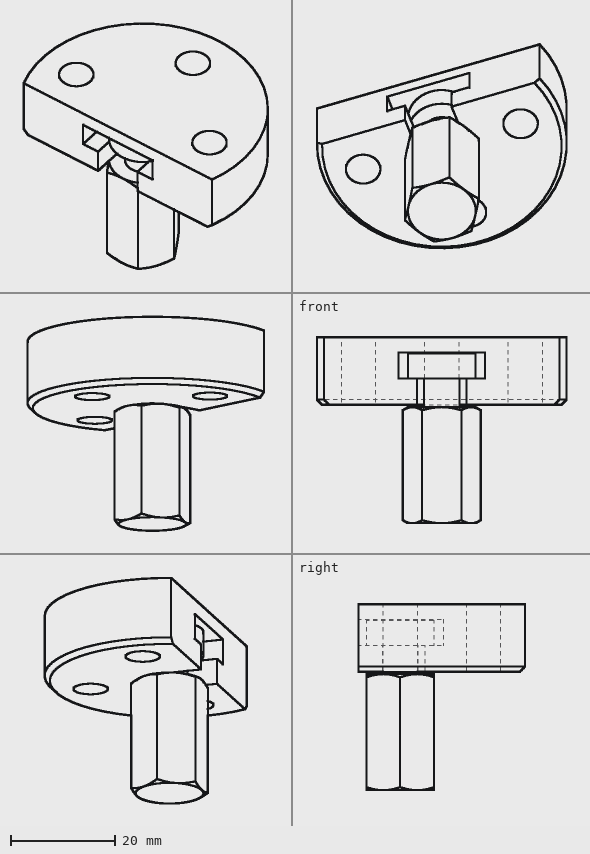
import cadquery as cq
import math

plate_diameter = 48.0
plate_thickness = 13.0
flat_distance = 8.0
plate_chamfer = 1.0
mount_hole_diameter = 6.6
mount_hole_circle_radius = 16.0
mount_hole_angles = (0, 90, 180)

slot_roof_depth = 3.0
head_slot_width = 16.65
head_slot_height = 5.0
neck_slot_width = 9.45

head_diameter = 13.0
head_clearance = 0.2
neck_diameter = 6.85
hex_across_flats = 13.0
hex_chamfer_angle = 30.0
overall_height = 35.7
hex_gap = 0.45

slot_floor_z = -slot_roof_depth - head_slot_height
hex_top_z = -plate_thickness - hex_gap
hex_height = overall_height - plate_thickness - hex_gap
hex_across_corners = hex_across_flats / math.cos(math.radians(30))


def cylinder(diameter, bottom_z, top_z):
    """Vertical cylinder on the disc axis."""
    return cq.Workplane("XY", origin=(0, 0, bottom_z)).circle(diameter / 2).extrude(top_z - bottom_z)


def round_ended_slot(width, bottom_z, top_z):
    """Slot cutter running from the disc axis out past the flat."""
    channel = (
        cq.Workplane("XY", origin=(0, -plate_diameter / 4, bottom_z))
        .rect(width, plate_diameter / 2)
        .extrude(top_z - bottom_z)
    )
    return channel.union(cylinder(width, bottom_z, top_z))


def make_plate():
    disc = cylinder(plate_diameter, -plate_thickness, 0).faces("<Z").chamfer(plate_chamfer)
    beyond_flat = (
        cq.Workplane("XY", origin=(0, -flat_distance, -plate_thickness))
        .box(plate_diameter, plate_diameter, plate_thickness, centered=(True, False, False))
        .rotate((0, -flat_distance, 0), (0, -flat_distance, 1), 180)
    )
    plate = disc.cut(beyond_flat)

    hole_centers = [
        (
            mount_hole_circle_radius * math.cos(math.radians(angle)),
            mount_hole_circle_radius * math.sin(math.radians(angle)),
        )
        for angle in mount_hole_angles
    ]
    holes = (
        cq.Workplane("XY", origin=(0, 0, -plate_thickness))
        .pushPoints(hole_centers)
        .circle(mount_hole_diameter / 2)
        .extrude(plate_thickness)
    )
    plate = plate.cut(holes)

    plate = plate.cut(round_ended_slot(head_slot_width, slot_floor_z, -slot_roof_depth))
    return plate.cut(round_ended_slot(neck_slot_width, -plate_thickness, slot_floor_z))


def make_hex_grip():
    """Hexagon with corners on the X axis, both ends turned to a cone."""
    hexagon = (
        cq.Workplane("XY", origin=(0, 0, -overall_height))
        .polygon(6, hex_across_corners)
        .extrude(hex_height)
    )
    corner_radius = hex_across_corners / 2
    end_radius = hex_across_flats / 2
    cone_height = (corner_radius - end_radius) * math.tan(math.radians(hex_chamfer_angle))
    turned_blank = (
        cq.Workplane("XZ")
        .moveTo(0, -overall_height)
        .lineTo(end_radius, -overall_height)
        .lineTo(corner_radius, -overall_height + cone_height)
        .lineTo(corner_radius, hex_top_z - cone_height)
        .lineTo(end_radius, hex_top_z)
        .lineTo(0, hex_top_z)
        .close()
        .revolve(360, (0, 0, 0), (0, 1, 0))
    )
    return hexagon.intersect(turned_blank)


def make_stud():
    head = cylinder(head_diameter, slot_floor_z, -slot_roof_depth - head_clearance)
    neck = cylinder(neck_diameter, hex_top_z, slot_floor_z)
    return make_hex_grip().union(neck).union(head)


plate = make_plate()
stud = make_stud()
result = cq.Compound.makeCompound([plate.val(), stud.val()])